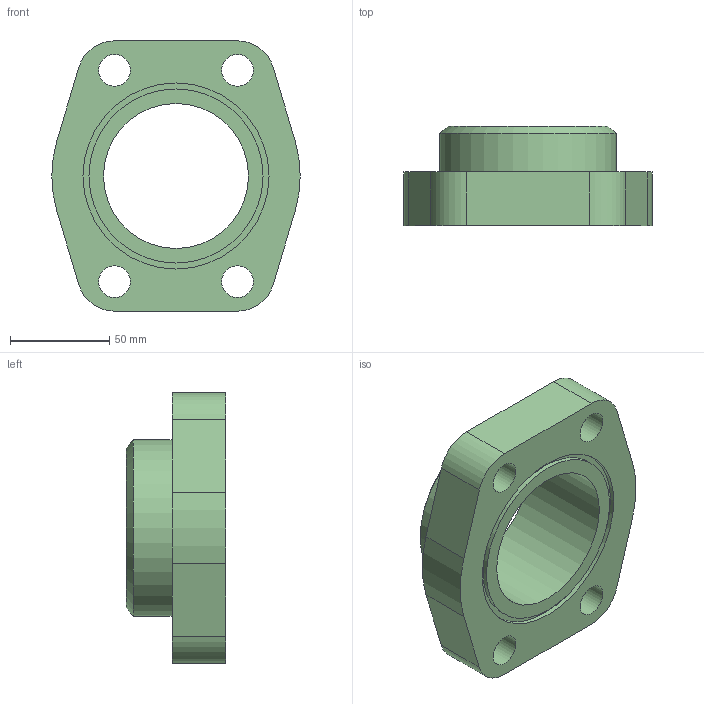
import cadquery as cq
import math

flange_width = 125.0
flange_height = 136.0
flange_thickness = 27.0
corner_radius = 18.75

bolt_spacing_x = 61.9
bolt_spacing_z = 106.4
bolt_hole_diameter = 16.0

overall_length = 50.0
neck_diameter = 89.0
bore_diameter = 73.0
bevel_length = 3.5
bevel_depth = 4.5

groove_outer_diameter = 93.6
groove_inner_diameter = 87.6
groove_depth = 2.4


def mating_face():
    """Workplane on the mating face; its normal is -Y, so negative extrusions run into the part."""
    return cq.Workplane("XZ")


def cylinder(diameter, length):
    """Cylinder on the bore axis, from the mating face toward +Y."""
    return mating_face().circle(diameter / 2).extrude(-length)


def make_flange():
    """Plate with rounded sides and corners joined by tangent straight flanks."""
    side_radius = flange_width / 2
    half_height = flange_height / 2
    corner_x = bolt_spacing_x / 2
    corner_z = half_height - corner_radius

    centre_distance = math.hypot(corner_x, corner_z)
    centre_angle = math.atan2(corner_z, corner_x)
    flank_angle = centre_angle - math.acos((side_radius - corner_radius) / centre_distance)
    side_end_x = side_radius * math.cos(flank_angle)
    side_end_z = side_radius * math.sin(flank_angle)
    corner_start_x = corner_x + corner_radius * math.cos(flank_angle)
    corner_start_z = corner_z + corner_radius * math.sin(flank_angle)
    corner_mid_angle = (flank_angle + math.pi / 2) / 2
    corner_mid_x = corner_x + corner_radius * math.cos(corner_mid_angle)
    corner_mid_z = corner_z + corner_radius * math.sin(corner_mid_angle)

    return (
        mating_face().moveTo(side_end_x, -side_end_z)
        .threePointArc((side_radius, 0), (side_end_x, side_end_z))
        .lineTo(corner_start_x, corner_start_z)
        .threePointArc((corner_mid_x, corner_mid_z), (corner_x, half_height))
        .lineTo(-corner_x, half_height)
        .threePointArc((-corner_mid_x, corner_mid_z), (-corner_start_x, corner_start_z))
        .lineTo(-side_end_x, side_end_z)
        .threePointArc((-side_radius, 0), (-side_end_x, -side_end_z))
        .lineTo(-corner_start_x, -corner_start_z)
        .threePointArc((-corner_mid_x, -corner_mid_z), (-corner_x, -half_height))
        .lineTo(corner_x, -half_height)
        .threePointArc((corner_mid_x, -corner_mid_z), (corner_start_x, -corner_start_z))
        .close()
        .extrude(-flange_thickness)
    )


def make_neck():
    """Solid neck of revolution with a welding bevel at its free end."""
    neck_radius = neck_diameter / 2
    return (
        cq.Workplane("XY")
        .moveTo(0, 0)
        .lineTo(neck_radius, 0)
        .lineTo(neck_radius, overall_length - bevel_length)
        .lineTo(neck_radius - bevel_depth, overall_length)
        .lineTo(0, overall_length)
        .close()
        .revolve(360, (0, 0), (0, 1))
    )


def make_bolt_holes():
    return (
        mating_face().rarray(bolt_spacing_x, bolt_spacing_z, 2, 2)
        .circle(bolt_hole_diameter / 2)
        .extrude(-flange_thickness)
    )


def make_seal_groove():
    outer = cylinder(groove_outer_diameter, groove_depth)
    return outer.cut(cylinder(groove_inner_diameter, groove_depth))


body = make_flange().union(make_neck())
body = body.cut(cylinder(bore_diameter, overall_length))
body = body.cut(make_bolt_holes())
result = body.cut(make_seal_groove())